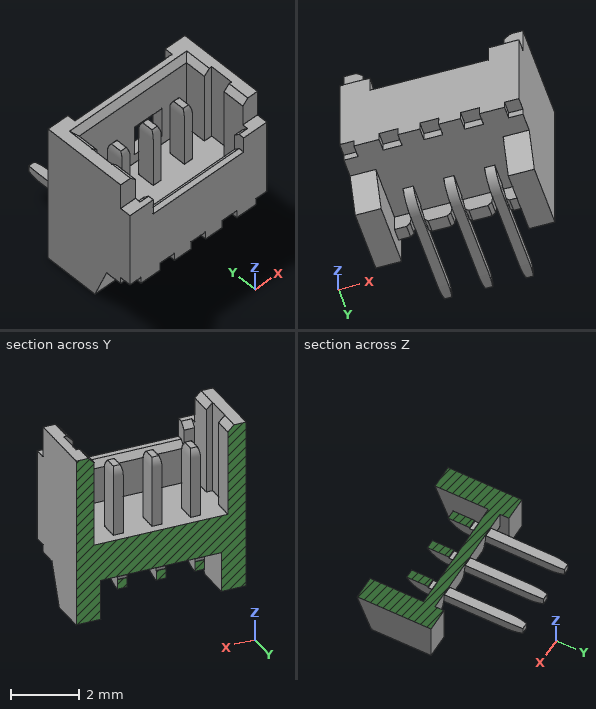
import cadquery as cq
import math


PIN_COUNT = 3
PITCH = 1.25
PIN_WIDTH = 0.32
POST_REAR_Y = -1.12
POST_FRONT_Y = -1.74
POST_TIP_Z = 4.8
POST_TAPER = 0.3
POST_TIP_WIDTH = 0.22
POST_TIP_THICKNESS = 0.4
TAIL_BOTTOM_Z = 0.88
TAIL_TOP_Z = 1.21
TAIL_TIP_Y = 2.3
TAIL_TAPER = 0.5
TAIL_TIP_SIZE = 0.23
BEND_RADIUS = 0.9

PIN_XS = [PITCH * (i - (PIN_COUNT - 1) / 2) for i in range(PIN_COUNT)]

WIDTH = 5.5
DEPTH = 3.5
HEIGHT = 5.5
UNDERSIDE_Z = 1.3
FRONT_STEP_Y = -3.1
FRONT_WALL_Z = 4.5
WALL_NOTCH_WIDTH = 3.63
WALL_NOTCH_Z = 3.9

FOOT_WIDTH = 0.8
FOOT_TOE_Y = -2.0
FOOT_TOP_Y = -2.5
INNER_WIDTH = WIDTH - 2 * FOOT_WIDTH
REAR_RECESS = 0.3

CAVITY_WIDTH = 4.31
CAVITY_FLOOR_Z = 2.55
CAVITY_REAR_Y = -0.7
CAVITY_FRONT_Y = FRONT_STEP_Y
LEAD_IN = 0.2
KEYWAY_REAR_Y = -1.46
KEYWAY_FRONT_Y = -2.3
LEFT_KEYWAY_X = -2.36
RIGHT_KEYWAY_X = 2.45

WINDOW_WIDTH = 1.1
WINDOW_X = PITCH / 2
WINDOW_BOTTOM_Z = 2.9
WINDOW_TOP_Z = 4.06

LIP_BOTTOM_Z = 0.68
LIP_FRONT_Y = CAVITY_REAR_Y
GROOVE_MOUTH = 0.66
GROOVE_THROAT = 0.44
GROOVE_CHAMFER = 0.12

PIN_NOTCH_WIDTH = 0.575
PIN_NOTCH_HEIGHT = 0.3
CORNER_NOTCH_WIDTH = 0.44
CORNER_NOTCH_HEIGHT = 0.25


def block(x0, x1, y0, y1, z0, z1):
    """Box between two opposite corners."""
    return cq.Workplane("XY").box(x1 - x0, y1 - y0, z1 - z0, centered=False).translate((x0, y0, z0))


def wide_block(width, y0, y1, z0, z1, x=0):
    """Box centred on the given X."""
    return block(x - width / 2, x + width / 2, y0, y1, z0, z1)


def housing_body():
    """Side outline across the full width, then cleared under and behind the middle."""
    body = (
        cq.Workplane("YZ", origin=(-WIDTH / 2, 0, 0))
        .polyline([
            (0, 0),
            (FOOT_TOE_Y, 0),
            (FOOT_TOP_Y, UNDERSIDE_Z),
            (-DEPTH, UNDERSIDE_Z),
            (-DEPTH, FRONT_WALL_Z),
            (FRONT_STEP_Y, FRONT_WALL_Z),
            (FRONT_STEP_Y, HEIGHT),
            (0, HEIGHT),
        ])
        .close()
        .extrude(WIDTH)
    )
    body = body.cut(wide_block(INNER_WIDTH, -DEPTH, 0, 0, UNDERSIDE_Z))
    body = body.cut(wide_block(INNER_WIDTH, -REAR_RECESS, 0, 0, HEIGHT))
    return body.union(wide_block(INNER_WIDTH, LIP_FRONT_Y, -REAR_RECESS, LIP_BOTTOM_Z, UNDERSIDE_Z))


def mouth_lead_in():
    """Flared cutter for the rear and side edges of the mouth; its front lies outside the housing."""
    length = CAVITY_REAR_Y + DEPTH
    mid_y = (CAVITY_REAR_Y - DEPTH) / 2
    return (
        cq.Workplane("XY", origin=(0, mid_y, HEIGHT - LEAD_IN))
        .rect(CAVITY_WIDTH, length)
        .workplane(offset=LEAD_IN)
        .rect(CAVITY_WIDTH + 2 * LEAD_IN, length + 2 * LEAD_IN)
        .loft(ruled=True)
    )


def front_lead_in(width, top_z):
    """Sloped inner edge of the front wall where its top is at top_z."""
    return (
        cq.Workplane("YZ", origin=(-width / 2, 0, 0))
        .polyline([
            (CAVITY_FRONT_Y, top_z - LEAD_IN),
            (CAVITY_FRONT_Y, top_z),
            (CAVITY_FRONT_Y - LEAD_IN, top_z),
        ])
        .close()
        .extrude(width)
    )


def cut_cavity(body):
    """Cavity with its keyways, sloped mouth, front wall notch and rear window."""
    body = body.cut(wide_block(CAVITY_WIDTH, CAVITY_FRONT_Y, CAVITY_REAR_Y, CAVITY_FLOOR_Z, HEIGHT))
    body = body.cut(mouth_lead_in())
    body = body.cut(
        block(LEFT_KEYWAY_X, RIGHT_KEYWAY_X, KEYWAY_FRONT_Y, KEYWAY_REAR_Y, CAVITY_FLOOR_Z, HEIGHT)
    )
    body = body.cut(front_lead_in(CAVITY_WIDTH, FRONT_WALL_Z))
    body = body.cut(wide_block(WALL_NOTCH_WIDTH, -DEPTH, CAVITY_FRONT_Y, WALL_NOTCH_Z, HEIGHT))
    body = body.cut(front_lead_in(WALL_NOTCH_WIDTH, WALL_NOTCH_Z))
    return body.cut(
        wide_block(WINDOW_WIDTH, CAVITY_REAR_Y, 0, WINDOW_BOTTOM_Z, WINDOW_TOP_Z, x=WINDOW_X)
    )


def front_notch(x, width, height):
    """Cutter through the lower edge of the front wall."""
    return wide_block(width, -DEPTH, FRONT_STEP_Y, UNDERSIDE_Z, UNDERSIDE_Z + height, x)


def cut_front_notches(body):
    for x in PIN_XS:
        body = body.cut(front_notch(x, PIN_NOTCH_WIDTH, PIN_NOTCH_HEIGHT))
    corner_x = (WIDTH - CORNER_NOTCH_WIDTH) / 2
    for x in (-corner_x, corner_x):
        body = body.cut(front_notch(x, CORNER_NOTCH_WIDTH, CORNER_NOTCH_HEIGHT))
    return body


def cut_pin_grooves(body):
    """Grooves in the rear lip, chamfered at the mouth and tapering to the pin width."""
    for x in PIN_XS:
        groove = (
            cq.Workplane("XZ", origin=(x, -REAR_RECESS, 0))
            .polyline([
                (-GROOVE_MOUTH / 2, LIP_BOTTOM_Z),
                (GROOVE_MOUTH / 2, LIP_BOTTOM_Z),
                (GROOVE_THROAT / 2, LIP_BOTTOM_Z + GROOVE_CHAMFER),
                (PIN_WIDTH / 2, TAIL_TOP_Z),
                (-PIN_WIDTH / 2, TAIL_TOP_Z),
                (-GROOVE_THROAT / 2, LIP_BOTTOM_Z + GROOVE_CHAMFER),
            ])
            .close()
            .extrude(-REAR_RECESS - LIP_FRONT_Y)
        )
        body = body.cut(groove)
    return body


def tapered_outline(wp, width, tip_width, end, taper):
    """Outline from the origin along +Y, curving in to tip_width over the last `taper`."""
    half = width / 2
    tip = tip_width / 2
    inset = half - tip
    radius = (taper ** 2 + inset ** 2) / (2 * inset)
    half_angle = math.asin(taper / radius) / 2
    mid_in = radius * (1 - math.cos(half_angle))
    mid_up = end - taper + radius * math.sin(half_angle)
    return (
        wp.moveTo(-half, 0)
        .lineTo(half, 0)
        .lineTo(half, end - taper)
        .threePointArc((half - mid_in, mid_up), (tip, end))
        .lineTo(-tip, end)
        .threePointArc((mid_in - half, mid_up), (-half, end - taper))
        .close()
    )


def tapered_bar(width, thickness, tip_width, tip_thickness, length, taper):
    """Bar along +Z from the origin; width lies along X and thickness along Y."""
    across = tapered_outline(cq.Workplane("XZ"), width, tip_width, length, taper)
    along = tapered_outline(cq.Workplane("YZ"), thickness, tip_thickness, length, taper)
    return across.extrude(thickness, both=True).intersect(along.extrude(width, both=True))


def pin():
    """Upright post, bent back at a rounded heel into a horizontal tail."""
    thickness = POST_REAR_Y - POST_FRONT_Y
    tail_height = TAIL_TOP_Z - TAIL_BOTTOM_Z
    bend_y = POST_FRONT_Y + BEND_RADIUS
    bend_z = TAIL_BOTTOM_Z + BEND_RADIUS
    post = tapered_bar(
        PIN_WIDTH, thickness, POST_TIP_WIDTH, POST_TIP_THICKNESS, POST_TIP_Z - bend_z, POST_TAPER
    ).translate((0, (POST_REAR_Y + POST_FRONT_Y) / 2, bend_z))
    tail = tapered_bar(
        PIN_WIDTH, tail_height, TAIL_TIP_SIZE, TAIL_TIP_SIZE, TAIL_TIP_Y - bend_y, TAIL_TAPER
    ).rotate((0, 0, 0), (1, 0, 0), -90).translate((0, bend_y, (TAIL_TOP_Z + TAIL_BOTTOM_Z) / 2))
    diagonal = BEND_RADIUS * math.sqrt(0.5)
    bend = (
        cq.Workplane("YZ", origin=(-PIN_WIDTH / 2, 0, 0))
        .moveTo(POST_FRONT_Y, bend_z)
        .threePointArc((bend_y - diagonal, bend_z - diagonal), (bend_y, TAIL_BOTTOM_Z))
        .lineTo(bend_y, bend_z)
        .close()
        .extrude(PIN_WIDTH)
    )
    return post.union(bend).union(tail)


result = cut_pin_grooves(cut_front_notches(cut_cavity(housing_body())))
for pin_x in PIN_XS:
    result = result.union(pin().translate((pin_x, 0, 0)))